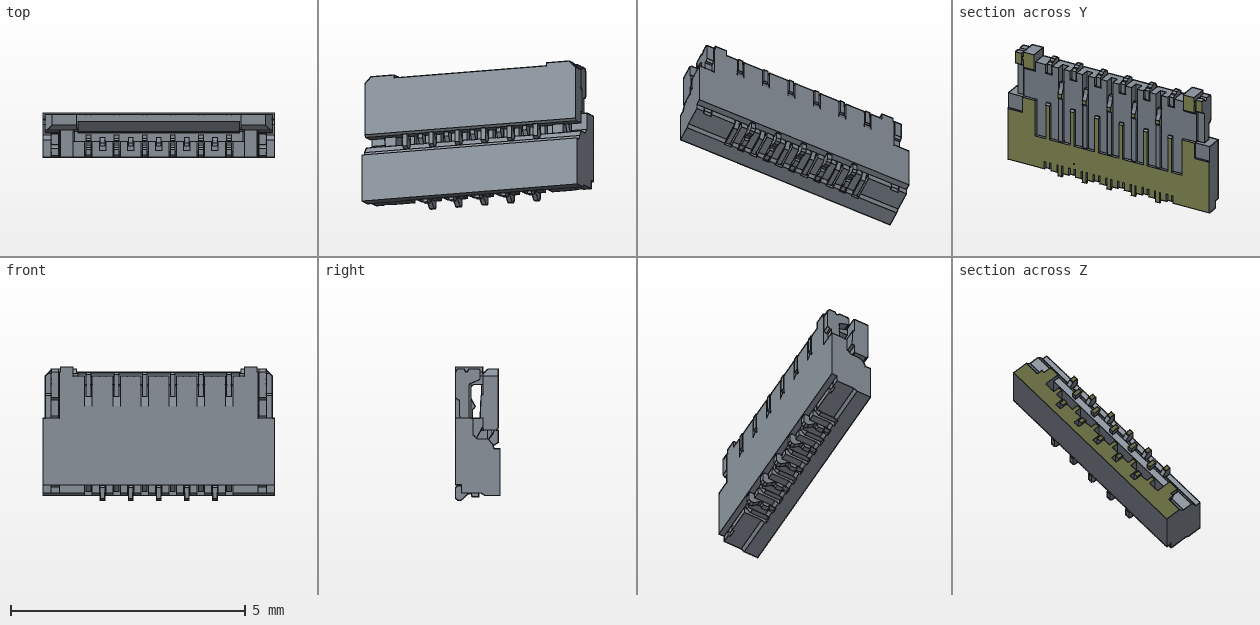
import cadquery as cq

WIDTH = 4.95
DEPTH = 0.95
HEIGHT = 2.85

PITCH = 0.60
HOOK_COUNT = 6
TAIL_COUNT = HOOK_COUNT - 1
CONTACT_WIDTH = 0.10
HOOK_SLOT_WIDTH = 0.16
TAIL_SLOT_WIDTH = 0.14
HOOK_XS = [(i - (HOOK_COUNT - 1) / 2) * PITCH for i in range(HOOK_COUNT)]
TAIL_XS = [(i - (TAIL_COUNT - 1) / 2) * PITCH for i in range(TAIL_COUNT)]

BASE_BOTTOM = 0.104
LIP_BOTTOM = 0.153
FRONT_BOTTOM = 0.33
LIP_Y = 0.127
SHOULDER_Z = 1.755
SHOULDER_Y = 0.376
TROUGH_Z = 1.305
REAR_WALL_Z = 1.107
LEDGE_Z = 2.65
FRONT_WALL_Y = 0.335
FRONT_HALF_WIDTH = 2.12
SLOT_HALF_WIDTH = 1.80
CABLE_SLOT_REAR_Y = 0.55
CABLE_SLOT_BOTTOM = 0.90
END_WALL_FOOT_Y = 0.447
END_WALL_FOOT_Z = 1.327
END_WALL_NOSE_Z = 1.58
RIB_REAR_Y = 0.68
RECESS_DEPTH = 0.05
RECESS_SLOPE_END_Z = 0.285

POST_INNER_X = 1.83
POST_OUTER_X = 2.10
POST_DEPTH = 0.587
POST_UNDERSIDE_Z = 2.473
POST_CORNER = 0.05
POST_CAP_Y = 0.20

NAIL_INNER_X = 2.14
NAIL_OUTER_X = 2.295
NAIL_TOP = 2.805
NAIL_GROOVE_Y = 0.235
NAIL_GROOVE_RADIUS = 0.044
NAIL_GROOVE_DROP = 0.012

ACTUATOR_HALF_WIDTH = 2.423
ACTUATOR_REAR_Y = 0.915
ACTUATOR_TOP = 2.805
ACTUATOR_BOTTOM = 1.50
ACTUATOR_CORNER = 0.145
PAD_Y = 0.522
PAD_EDGE_Y = 0.544
PAD_TOP = 2.235
SADDLE_Z = 2.74
SADDLE_HALF_WIDTH = 1.755
RAMP_HALF_WIDTH = 1.72
RAMP_TOP_Y = 0.77
RAMP_TOP_Z = 2.695
RAMP_BOTTOM_Y = 0.555
RAMP_BOTTOM_Z = 2.47

HOOK_TOP = 2.74
HOOK_BOTTOM = 2.22
HOOK_SLOT_BOTTOM = 2.01
HOOK_SLOT_FLOOR = 2.44
FOOT_BOTTOM = 0.19

POCKET_FRONT_Y = 0.15
TAIL_TOP = 0.315
WEB_FRONT_Y = 0.60
LIP_SLOT_DEPTH_Y = 0.65

OVERLAP = 0.05


def prism(points, x_start, x_end):
    """Extrude a closed (y, z) outline from x_start to x_end."""
    sketch = cq.Workplane("YZ").workplane(offset=x_start).polyline(points).close()
    return sketch.extrude(x_end - x_start)


def centred_prism(points, x_centre, width):
    return prism(points, x_centre - width / 2, x_centre + width / 2)


def box(x_range, y_range, z_range):
    y0, y1 = y_range
    z0, z1 = z_range
    return prism([(y0, z0), (y1, z0), (y1, z1), (y0, z1)], *x_range)


def both_ends(solid):
    return solid.union(solid.mirror("YZ"))


def make_base():
    """Full-width housing body with an open trough under the actuator."""
    outline = [
        (0, FRONT_BOTTOM),
        (0, SHOULDER_Z),
        (SHOULDER_Y, SHOULDER_Z),
        (SHOULDER_Y, 1.40),
        (0.475, TROUGH_Z),
        (0.70, TROUGH_Z),
        (0.80, 1.187),
        (0.822, REAR_WALL_Z),
        (DEPTH, REAR_WALL_Z),
        (DEPTH, BASE_BOTTOM),
        (0.62, BASE_BOTTOM),
        (0.545, LIP_BOTTOM),
        (LIP_Y, LIP_BOTTOM),
        (LIP_Y, FRONT_BOTTOM),
    ]
    return centred_prism(outline, 0, WIDTH)


def make_front_wall():
    """Upright wall in front of the cable slot, ending in the contact ledge."""
    z_range = (SHOULDER_Z - OVERLAP, LEDGE_Z)
    return box((-FRONT_HALF_WIDTH, FRONT_HALF_WIDTH), (0, FRONT_WALL_Y), z_range)


def make_cable_slot():
    """Clearance for the flat cable between the front wall and the actuator pad."""
    x_range = (-SLOT_HALF_WIDTH, SLOT_HALF_WIDTH)
    return box(x_range, (FRONT_WALL_Y, CABLE_SLOT_REAR_Y), (CABLE_SLOT_BOTTOM, LEDGE_Z))


def make_slot_end_walls():
    """End walls of the cable slot, each with a lower inner rib behind it."""
    wall = [
        (SHOULDER_Y - OVERLAP, TROUGH_Z - OVERLAP),
        (SHOULDER_Y - OVERLAP, SHOULDER_Z),
        (POST_DEPTH, SHOULDER_Z),
        (POST_DEPTH, END_WALL_NOSE_Z),
        (END_WALL_FOOT_Y, END_WALL_FOOT_Z),
        (END_WALL_FOOT_Y, TROUGH_Z - OVERLAP),
    ]
    solid = prism(wall, SLOT_HALF_WIDTH, FRONT_HALF_WIDTH)
    x_range = (SLOT_HALF_WIDTH, POST_OUTER_X - OVERLAP)
    rib = box(x_range, (END_WALL_FOOT_Y, RIB_REAR_Y), (TROUGH_Z - OVERLAP, ACTUATOR_BOTTOM))
    return both_ends(solid.union(rib))


def make_posts():
    """Corner posts whose heads reach back over the cable slot to the actuator."""
    outline = [
        (0, LEDGE_Z - OVERLAP),
        (0, HEIGHT),
        (POST_DEPTH, HEIGHT),
        (POST_DEPTH, POST_UNDERSIDE_Z),
        (FRONT_WALL_Y + POST_CORNER, POST_UNDERSIDE_Z),
        (FRONT_WALL_Y, POST_UNDERSIDE_Z - POST_CORNER),
        (POST_CAP_Y, POST_UNDERSIDE_Z - POST_CORNER),
        (POST_CAP_Y, LEDGE_Z - OVERLAP),
    ]
    head = prism(outline, POST_INNER_X, POST_OUTER_X)
    flank = box((POST_OUTER_X - OVERLAP, FRONT_HALF_WIDTH), (0, POST_DEPTH), (LEDGE_Z, SADDLE_Z))
    return both_ends(head.union(flank))


def make_nails():
    """Hooked retention nails standing on the shoulders at both ends."""
    outline = [
        (0.105, SHOULDER_Z - OVERLAP),
        (0.105, SHOULDER_Z),
        (0.09, 1.80),
        (0.09, 2.145),
        (0.05, 2.145),
        (0, 2.195),
        (0, NAIL_TOP - 0.065),
        (0.04, NAIL_TOP),
        (0.50, NAIL_TOP),
        (0.525, NAIL_TOP - 0.03),
        (0.525, 2.60),
        (0.50, 2.57),
        (0.31, 2.49),
        (0.285, 2.46),
        (0.285, SHOULDER_Z - OVERLAP),
    ]
    nail = prism(outline, NAIL_INNER_X, NAIL_OUTER_X)
    groove = cq.Workplane("YZ").workplane(offset=NAIL_INNER_X)
    groove = groove.center(NAIL_GROOVE_Y, NAIL_TOP - NAIL_GROOVE_DROP).circle(NAIL_GROOVE_RADIUS)
    return both_ends(nail.cut(groove.extrude(NAIL_OUTER_X - NAIL_INNER_X)))


def make_actuator():
    """Flip-lock bar with bevelled ends, a lowered saddle, a cable lead-in ramp and split pads."""
    outline = [
        (ACTUATOR_REAR_Y, ACTUATOR_TOP),
        (0.69, ACTUATOR_TOP),
        (POST_DEPTH, 2.705),
        (POST_DEPTH, 2.277),
        (PAD_EDGE_Y, PAD_TOP),
        (PAD_Y, SHOULDER_Z),
        (POST_DEPTH, SHOULDER_Z),
        (POST_DEPTH, 1.53),
        (0.60, ACTUATOR_BOTTOM),
        (0.865, ACTUATOR_BOTTOM),
        (ACTUATOR_REAR_Y, 1.55),
    ]
    bar = centred_prism(outline, 0, 2 * ACTUATOR_HALF_WIDTH)
    bar = bar.intersect(end_bevel_envelope())

    saddle = (-SADDLE_HALF_WIDTH, SADDLE_HALF_WIDTH)
    bar = bar.cut(box(saddle, (0, DEPTH), (SADDLE_Z, HEIGHT)))

    ramp_fill = [
        (RAMP_TOP_Y, RAMP_TOP_Z),
        (RAMP_BOTTOM_Y, RAMP_BOTTOM_Z),
        (RAMP_BOTTOM_Y, PAD_TOP),
        (RAMP_TOP_Y, PAD_TOP),
    ]
    ramp_cut = [
        (RAMP_TOP_Y, RAMP_TOP_Z),
        (RAMP_TOP_Y, HEIGHT),
        (0, HEIGHT),
        (0, RAMP_BOTTOM_Z),
        (RAMP_BOTTOM_Y, RAMP_BOTTOM_Z),
    ]
    bar = bar.union(centred_prism(ramp_fill, 0, 2 * RAMP_HALF_WIDTH))
    bar = bar.cut(centred_prism(ramp_cut, 0, 2 * RAMP_HALF_WIDTH))

    pad_gap = box((RAMP_HALF_WIDTH, POST_INNER_X), (0, POST_DEPTH), (SHOULDER_Z, HEIGHT))
    return bar.cut(both_ends(pad_gap))


def end_bevel_envelope():
    """Block with 45 degree upper corners that bevels the actuator ends."""
    size_z = ACTUATOR_TOP - ACTUATOR_BOTTOM
    block = cq.Workplane("XY").box(2 * ACTUATOR_HALF_WIDTH, DEPTH, size_z)
    block = block.edges("|Y and >Z").chamfer(ACTUATOR_CORNER)
    return block.translate((0, DEPTH / 2, ACTUATOR_BOTTOM + size_z / 2))


def make_hook_slot(x):
    """Open front slot around a hook contact, with a stepped sloping floor."""
    outline = [
        (-OVERLAP, HOOK_SLOT_BOTTOM),
        (0, HOOK_SLOT_BOTTOM),
        (0.07, 2.30),
        (0.13, HOOK_SLOT_FLOOR),
        (FRONT_WALL_Y, HOOK_SLOT_FLOOR),
        (FRONT_WALL_Y, HEIGHT),
        (-OVERLAP, HEIGHT),
    ]
    return centred_prism(outline, x, HOOK_SLOT_WIDTH)


def make_hook_contact(x):
    """Contact with a stepped head at the slot, a step in the cable slot and a foot behind the front lip."""
    head = [
        (0.10, HOOK_BOTTOM),
        (0, HOOK_BOTTOM),
        (0, HOOK_TOP - 0.05),
        (0.05, HOOK_TOP),
        (0.165, HOOK_TOP),
        (0.21, HOOK_TOP - 0.04),
        (0.265, HOOK_TOP - 0.04),
        (0.31, HOOK_TOP - 0.08),
        (0.31, HOOK_BOTTOM),
    ]
    step = [
        (FRONT_WALL_Y - OVERLAP, CABLE_SLOT_BOTTOM),
        (FRONT_WALL_Y - OVERLAP, 1.75),
        (0.355, 1.75),
        (0.405, 1.70),
        (0.405, 1.65),
        (0.478, 1.65),
        (0.478, CABLE_SLOT_BOTTOM),
    ]
    foot = [
        (LIP_Y, FRONT_BOTTOM),
        (0.25, FOOT_BOTTOM),
        (LIP_SLOT_DEPTH_Y, FOOT_BOTTOM),
        (LIP_SLOT_DEPTH_Y, FRONT_BOTTOM + OVERLAP),
        (LIP_Y, FRONT_BOTTOM + OVERLAP),
    ]
    arm = [
        (0.80, 1.187),
        (0.84, 1.187),
        (ACTUATOR_REAR_Y, 1.24),
        (ACTUATOR_REAR_Y, ACTUATOR_BOTTOM),
        (0.825, ACTUATOR_BOTTOM),
        (0.79, 1.41),
        (0.70, TROUGH_Z),
        (0.70, 1.187),
    ]
    contact = centred_prism(head, x, CONTACT_WIDTH)
    contact = contact.union(centred_prism(step, x, CONTACT_WIDTH))
    contact = contact.union(centred_prism(foot, x, CONTACT_WIDTH))
    return contact.union(centred_prism(arm, x, CONTACT_WIDTH))


def make_tail_contact(x):
    """Contact with a pointed cable bump, an actuator web and a solder tail."""
    bump = [
        (FRONT_WALL_Y, 2.17),
        (0.425, 2.0),
        (0.363, 1.93),
        (0.363, CABLE_SLOT_BOTTOM - OVERLAP),
        (0.24, CABLE_SLOT_BOTTOM - OVERLAP),
        (0.24, 2.30),
        (0.31, 2.30),
    ]
    web = [
        (WEB_FRONT_Y, TROUGH_Z - OVERLAP),
        (RIB_REAR_Y, TROUGH_Z - OVERLAP),
        (0.78, 1.41),
        (0.78, ACTUATOR_BOTTOM + OVERLAP),
        (WEB_FRONT_Y, ACTUATOR_BOTTOM + OVERLAP),
    ]
    tail = [
        (LIP_SLOT_DEPTH_Y, FRONT_BOTTOM + OVERLAP),
        (LIP_Y, FRONT_BOTTOM + OVERLAP),
        (LIP_Y, TAIL_TOP),
        (0.04, TAIL_TOP),
        (0, 0.27),
        (0, 0.045),
        (0.045, 0),
        (0.12, 0),
        (0.26, 0.13),
        (0.33, 0.15),
        (0.35, 0.075),
        (0.50, 0.075),
        (0.50, LIP_BOTTOM),
        (LIP_SLOT_DEPTH_Y, LIP_BOTTOM),
    ]
    contact = centred_prism(bump, x, CONTACT_WIDTH)
    contact = contact.union(centred_prism(web, x, CONTACT_WIDTH))
    return contact.union(centred_prism(tail, x, CONTACT_WIDTH))


def make_lip_slot(x, width):
    """Slot through the bottom lip for a contact foot or tail."""
    x_range = (x - width / 2, x + width / 2)
    return box(x_range, (0, LIP_SLOT_DEPTH_Y), (0, FRONT_BOTTOM))


def make_ledge_pocket(x):
    """Pocket in the ledge, open to the cable slot, in which a cable bump flexes."""
    x_range = (x - TAIL_SLOT_WIDTH / 2, x + TAIL_SLOT_WIDTH / 2)
    return box(x_range, (POCKET_FRONT_Y, FRONT_WALL_Y), (CABLE_SLOT_BOTTOM, HEIGHT))


def make_nail_recesses():
    """Shallow recesses in the bottom lip below the nails."""
    recess_y = LIP_Y + RECESS_DEPTH
    outline = [
        (LIP_Y, FRONT_BOTTOM),
        (recess_y, RECESS_SLOPE_END_Z),
        (recess_y, 0),
        (LIP_Y, 0),
    ]
    return both_ends(prism(outline, FRONT_HALF_WIDTH, NAIL_OUTER_X))


result = make_base().union(make_front_wall())
result = result.cut(make_cable_slot()).union(make_slot_end_walls()).union(make_posts())
result = result.cut(make_nail_recesses())

for hook_x in HOOK_XS:
    result = result.cut(make_hook_slot(hook_x)).cut(make_lip_slot(hook_x, HOOK_SLOT_WIDTH))
for tail_x in TAIL_XS:
    result = result.cut(make_ledge_pocket(tail_x)).cut(make_lip_slot(tail_x, TAIL_SLOT_WIDTH))

result = result.union(make_actuator()).union(make_nails())
for hook_x in HOOK_XS:
    result = result.union(make_hook_contact(hook_x))
for tail_x in TAIL_XS:
    result = result.union(make_tail_contact(tail_x))